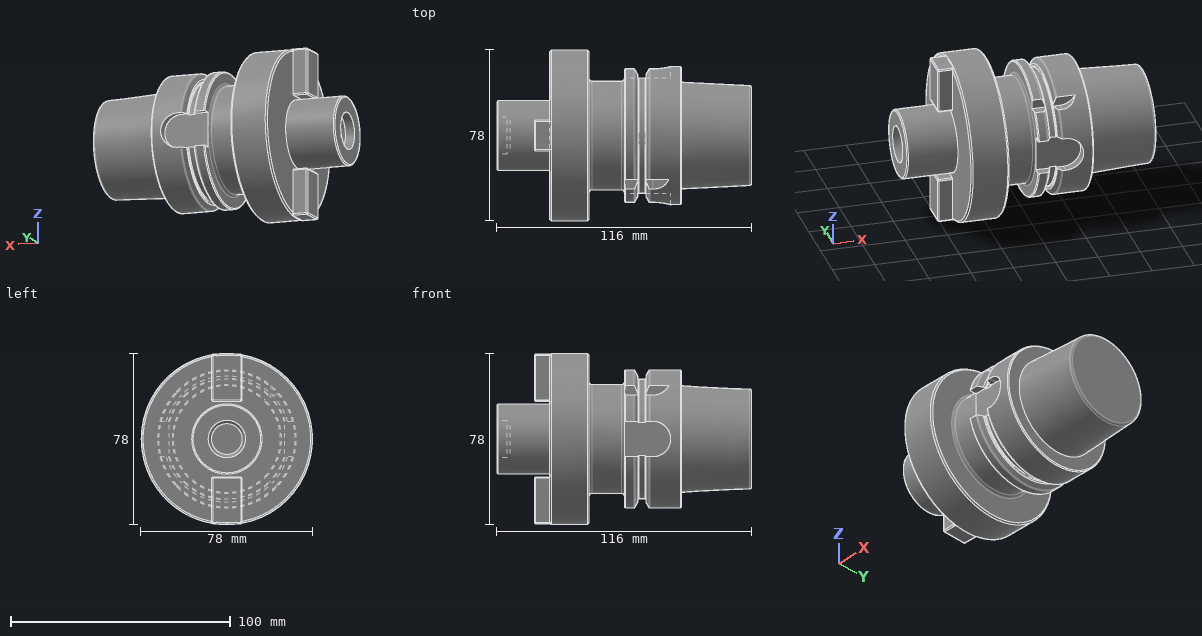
import cadquery as cq
import math

PILOT_END_X = -84.0
FLANGE_FRONT_X = -60.0
FLANGE_BACK_X = -42.0
COLLAR_FRONT_X = -26.0
COLLAR_BACK_X = 0.0
SHANK_LENGTH = 32.0

PILOT_DIAMETER = 32.0
FLANGE_DIAMETER = 78.0
NECK_DIAMETER = 49.7
COLLAR_DIAMETER = 63.0
SHANK_DIAMETER = 48.7
SHANK_TAPER = 0.1

PILOT_CHAMFER = 0.6
FLANGE_CHAMFER = 0.8
COLLAR_CHAMFER = 0.5
NECK_FILLET = 1.2
SHANK_END_FILLET = 1.0

GROOVE_DIAMETER = 54.7
GROOVE_CENTER_X = -18.0
GROOVE_FLOOR_WIDTH = 3.6
GROOVE_FLANK_START_RADIUS = 28.8
GROOVE_FLANK_ANGLE = 60.0
GROOVE_ROOT_FILLET = 0.4
GROOVE_EDGE_FILLET = 0.5

BORE_DIAMETER = 17.0
BORE_DEPTH = 4.5
BORE_FLOOR_DIAMETER = 14.0

KEY_WIDTH = 14.0
KEY_HEIGHT = 7.0
KEY_INNER_Z = 17.2
KEY_OUTER_Z = 38.7
KEY_CHAMFER = 0.6

CUTTER_RADIUS = 8.05
CUTTER_END_X = -12.9
SLOT_FLOOR_Y = 26.3
NOTCH_OFFSET = 20.0

MATCH_TOLERANCE = 1e-4


def disc(start_x, end_x, diameter):
    """Cylinder around the X axis."""
    return cq.Workplane("YZ", origin=(start_x, 0, 0)).circle(diameter / 2).extrude(end_x - start_x)


def make_pilot():
    pilot = disc(PILOT_END_X, FLANGE_FRONT_X, PILOT_DIAMETER)
    return pilot.faces("<X").chamfer(PILOT_CHAMFER)


def make_flange():
    flange = disc(FLANGE_FRONT_X, FLANGE_BACK_X, FLANGE_DIAMETER)
    return flange.edges().chamfer(FLANGE_CHAMFER)


def make_neck():
    """Neck whose ends flare with a concave fillet into the flange and the collar."""
    radius = NECK_DIAMETER / 2
    flare_radius = radius + NECK_FILLET
    arc_offset = NECK_FILLET * math.sqrt(0.5)
    arc_radius = flare_radius - arc_offset
    left_center_x = FLANGE_BACK_X + NECK_FILLET
    right_center_x = COLLAR_FRONT_X - NECK_FILLET
    profile = (
        cq.Workplane("XY")
        .moveTo(FLANGE_BACK_X, 0)
        .lineTo(FLANGE_BACK_X, flare_radius)
        .threePointArc((left_center_x - arc_offset, arc_radius), (left_center_x, radius))
        .lineTo(right_center_x, radius)
        .threePointArc((right_center_x + arc_offset, arc_radius), (COLLAR_FRONT_X, flare_radius))
        .lineTo(COLLAR_FRONT_X, 0)
        .close()
    )
    return profile.revolve(360, (0, 0, 0), (1, 0, 0))


def make_groove():
    """Ring to remove: a straight-walled floor opening into two sloped flanks."""
    outer_radius = COLLAR_DIAMETER / 2
    floor_radius = GROOVE_DIAMETER / 2
    half_floor = GROOVE_FLOOR_WIDTH / 2
    flank_rise = outer_radius - GROOVE_FLANK_START_RADIUS
    half_mouth = half_floor + flank_rise / math.tan(math.radians(GROOVE_FLANK_ANGLE))
    profile = (
        cq.Workplane("XY", origin=(GROOVE_CENTER_X, 0, 0))
        .moveTo(-half_mouth, outer_radius)
        .lineTo(-half_floor, GROOVE_FLANK_START_RADIUS)
        .lineTo(-half_floor, floor_radius)
        .lineTo(half_floor, floor_radius)
        .lineTo(half_floor, GROOVE_FLANK_START_RADIUS)
        .lineTo(half_mouth, outer_radius)
        .close()
    )
    return profile.revolve(360, (0, 0, 0), (1, 0, 0))


def circles_of_radius(solid, radius, start_x, end_x):
    """Circular edges of the given radius lying strictly between two X positions."""
    def matches(edge):
        inside = start_x < edge.Center().x < end_x
        return inside and edge.geomType() == "CIRCLE" and abs(edge.radius() - radius) < MATCH_TOLERANCE
    return solid.newObject([edge for edge in solid.edges().vals() if matches(edge)])


def make_collar():
    collar = disc(COLLAR_FRONT_X, COLLAR_BACK_X, COLLAR_DIAMETER).edges().chamfer(COLLAR_CHAMFER)
    collar = collar.cut(make_groove())
    inner_start = COLLAR_FRONT_X + 2 * COLLAR_CHAMFER
    inner_end = COLLAR_BACK_X - 2 * COLLAR_CHAMFER
    mouth_edges = circles_of_radius(collar, COLLAR_DIAMETER / 2, inner_start, inner_end)
    collar = mouth_edges.fillet(GROOVE_EDGE_FILLET)
    root_edges = circles_of_radius(collar, GROOVE_DIAMETER / 2, inner_start, inner_end)
    return root_edges.fillet(GROOVE_ROOT_FILLET)


def make_shank():
    end_diameter = SHANK_DIAMETER - SHANK_TAPER * SHANK_LENGTH
    shank = (
        cq.Workplane("YZ", origin=(COLLAR_BACK_X, 0, 0))
        .circle(SHANK_DIAMETER / 2)
        .workplane(offset=SHANK_LENGTH)
        .circle(end_diameter / 2)
        .loft(ruled=True)
    )
    return shank.faces(">X").edges().fillet(SHANK_END_FILLET)


def make_key():
    """Key above the pilot, with its foot on the flange face."""
    key = cq.Workplane("XY").box(
        KEY_HEIGHT, KEY_WIDTH, KEY_OUTER_Z - KEY_INNER_Z, centered=(False, True, False)
    )
    key = key.edges("|X").chamfer(KEY_CHAMFER)
    key = key.faces("<X").edges().chamfer(KEY_CHAMFER)
    foot = cq.Workplane("XY").box(
        FLANGE_CHAMFER,
        KEY_WIDTH - 2 * KEY_CHAMFER,
        KEY_OUTER_Z - KEY_INNER_Z,
        centered=(False, True, False),
    )
    key = key.union(foot.translate((KEY_HEIGHT, 0, 0)))
    return key.translate((FLANGE_FRONT_X - KEY_HEIGHT, 0, KEY_INNER_Z))


def make_bore():
    floor_depth = BORE_DEPTH + (BORE_DIAMETER - BORE_FLOOR_DIAMETER) / 2
    profile = (
        cq.Workplane("XY", origin=(PILOT_END_X, 0, 0))
        .moveTo(0, 0)
        .lineTo(0, BORE_DIAMETER / 2)
        .lineTo(BORE_DEPTH, BORE_DIAMETER / 2)
        .lineTo(floor_depth, BORE_FLOOR_DIAMETER / 2)
        .lineTo(floor_depth, 0)
        .close()
    )
    return profile.revolve(360, (0, 0, 0), (1, 0, 0))


def make_cutter_path(floor_y, center_z):
    """Round-ended slot volume on the -Y side, open toward the neck."""
    depth = COLLAR_DIAMETER / 2 - floor_y
    length = CUTTER_END_X - COLLAR_FRONT_X
    plane = cq.Workplane("XZ", origin=(0, -floor_y, center_z))
    straight = plane.center(COLLAR_FRONT_X + length / 2, 0).rect(length, 2 * CUTTER_RADIUS).extrude(depth)
    round_end = plane.center(CUTTER_END_X, 0).circle(CUTTER_RADIUS).extrude(depth)
    return straight.union(round_end)


turned_body = (
    make_flange()
    .union(make_pilot())
    .union(make_neck())
    .union(make_collar())
    .union(make_shank())
    .cut(make_bore())
)

key = make_key()
slot = make_cutter_path(SLOT_FLOOR_Y, 0)
notch = make_cutter_path(NOTCH_OFFSET, NOTCH_OFFSET + CUTTER_RADIUS)

result = turned_body.cut(notch)
for angle in (0, 180):
    result = result.union(key.rotate((0, 0, 0), (1, 0, 0), angle))
    result = result.cut(slot.rotate((0, 0, 0), (1, 0, 0), angle))